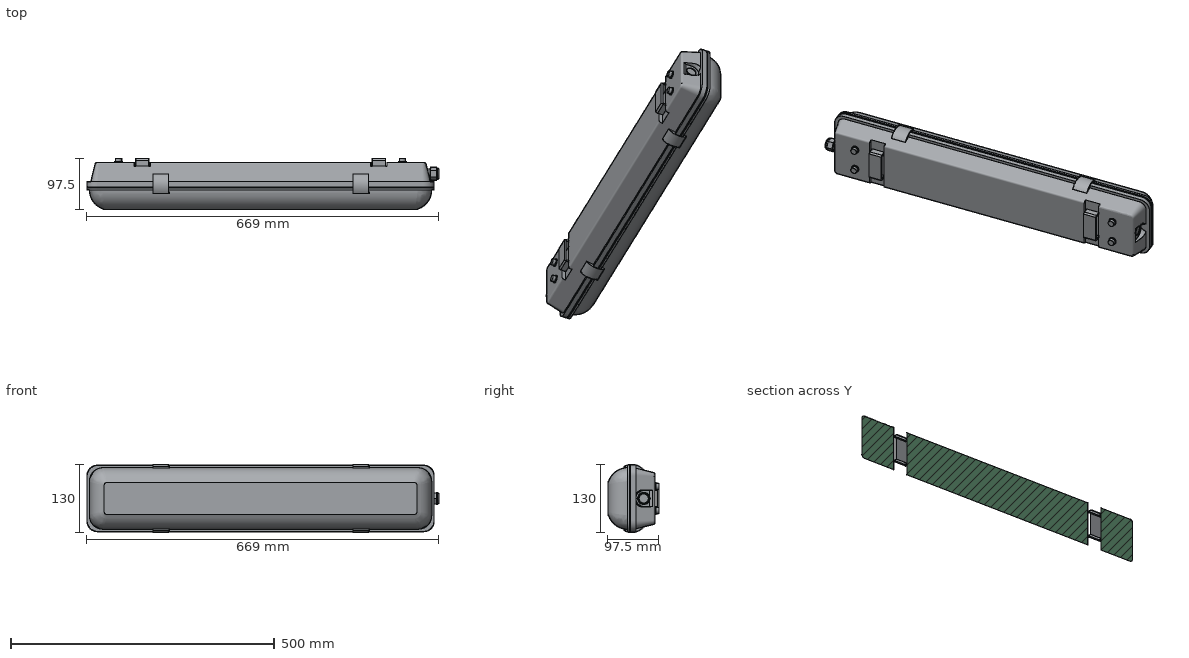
import cadquery as cq
import math


rim_length = 660.0
rim_height = 126.5
rim_thickness = 16.0
rim_corner = 20.0
seal_groove_width = 2.0
seal_groove_depth = 1.5
seal_groove_from_front = 4.0

lens_ledge = 5.0
lens_depth = 37.5
lens_curve_depth = 33.5
lens_curve_inset = 20.0
lens_corner = 26.0
lens_bevel = 8.0
lens_face_corner = 5.5

housing_depth = 36.0
housing_end_inset = 7.5
housing_side_inset = 5.7
housing_taper = 9.0
housing_root_corner = 14.0
housing_back_corner = 7.0
housing_back_fillet = 4.0

clip_spacing = 380.0
clip_width = 29.5
clip_back = 14.0
clip_front_overlap = 7.0
clip_top = 65.0
clip_radius = 29.0
clip_root = 53.5
clip_edge_thickness = 2.0
clip_ear_width = 2.0
clip_ear_length = 3.0
clip_ear_top = 61.0

mount_standoff = 8.0
bracket_spacing = 450.0
bracket_length = 25.5
bracket_height = 59.5
bracket_thickness = 4.0
bracket_bevel_height = 4.0
bracket_bevel_width = 2.0
slot_length = 30.0
slot_depth = 7.0

foot_spacing_x = 539.5
foot_spacing_z = 45.5
foot_diameter = 12.0
foot_root_diameter = 15.0
foot_root_height = 2.0

entry_y = 15.0
entry_radius = 19.0
entry_inset = 17.5
entry_draft = 12
entry_ramp_length = 6.0
entry_ramp_rise = 3.0
knockout_diameter = 19.0
knockout_depth = 1.5

gland_tip = 339.0
gland_neck_diameter = 19.0
gland_flange_diameter = 21.0
gland_flange_start = 322.0
gland_flange_thickness = 1.5
gland_nut_diameter = 25.0
gland_nut_length = 11.0
gland_cap_diameter = 23.0
gland_cap_chamfer = 3.0

rim_front = -rim_thickness
housing_back = housing_depth
mount_back = housing_back + mount_standoff
overlap = 1.5


def rounded_wire(y, end_inset, side_inset, corner):
    """Rounded rectangle in the plane at y, inset from the rim outline."""
    length = rim_length - 2 * end_inset
    height = rim_height - 2 * side_inset
    outline = cq.Workplane("XZ", origin=(0, y, 0)).rect(length, height).val()
    return outline.fillet2D(corner, outline.Vertices())


def loft(wires):
    """Straight-sided solid between outlines."""
    return cq.Workplane(cq.Solid.makeLoft(wires, True))


def box(x, y, z):
    """Box between the (low, high) limits on each axis."""
    size = [high - low for low, high in (x, y, z)]
    return cq.Workplane("XY").box(*size, centered=False).translate((x[0], y[0], z[0]))


def cylinder_x(diameter, start, end):
    return cq.Workplane("YZ", origin=(start, entry_y, 0)).circle(diameter / 2).extrude(end - start)


def make_rim():
    """Rim with the seal groove running all round."""

    def slab(front, back, inset):
        wires = [rounded_wire(y, inset, inset, rim_corner - inset) for y in (front, back)]
        return loft(wires)

    groove_front = rim_front + seal_groove_from_front
    groove_back = groove_front + seal_groove_width
    core = slab(rim_front, 0, seal_groove_depth)
    return core.union(slab(rim_front, groove_front, 0)).union(slab(groove_back, 0, 0))


def flank_prism(plane, length, half_width):
    """Flank section of the lens, extruded both ways from the plane; local y is the part's Y."""
    radius = (lens_curve_depth**2 + lens_curve_inset**2) / (2 * lens_curve_inset)
    half_angle = math.asin(lens_curve_depth / radius) / 2
    middle = half_width - radius * (1 - math.cos(half_angle))
    middle_y = rim_front - radius * math.sin(half_angle)
    end = half_width - lens_curve_inset
    end_y = rim_front - lens_curve_depth
    return (
        cq.Workplane(plane)
        .moveTo(-half_width, rim_front)
        .threePointArc((-middle, middle_y), (-end, end_y))
        .lineTo(end, end_y)
        .threePointArc((middle, middle_y), (half_width, rim_front))
        .close()
        .extrude(length / 2, both=True)
    )


def make_lens():
    """Flanks crossed at the corners and rounded there, plus the bevelled front."""
    across = cq.Plane((0, 0, 0), xDir=(0, 0, 1), normal=(-1, 0, 0))
    long_sides = flank_prism(across, rim_length, rim_height / 2 - lens_ledge)
    ends = flank_prism("XY", rim_height, rim_length / 2 - lens_ledge)
    flanks = long_sides.intersect(ends).edges("not(#X or #Y or #Z)").fillet(lens_corner)
    bevel_outline = flanks.faces("<Y").val().outerWire()
    face_inset = lens_ledge + lens_curve_inset + lens_bevel
    face_outline = rounded_wire(rim_front - lens_depth, face_inset, face_inset, lens_face_corner)
    return flanks.union(loft([bevel_outline, face_outline]))


def make_housing():
    """Tapered back shell with bracket slots and a cable entry in each end."""
    root = rounded_wire(0, housing_end_inset, housing_side_inset, housing_root_corner)
    back_end_inset = housing_end_inset + housing_taper
    back_side_inset = housing_side_inset + housing_taper
    back = rounded_wire(housing_back, back_end_inset, back_side_inset, housing_back_corner)
    housing = loft([root, back]).faces(">Y").edges().fillet(housing_back_fillet)
    for side in (-1, 1):
        x = side * bracket_spacing / 2
        slot = box(
            (x - slot_length / 2, x + slot_length / 2),
            (housing_back - slot_depth, mount_back),
            (-rim_height / 2, rim_height / 2),
        )
        housing = housing.cut(slot)
    entry = make_entry()
    return housing.cut(entry).cut(entry.mirror("YZ"))


def make_entry():
    """Cutter for the -X end: a U-shaped recess with a ramp at its back and a round knockout."""
    start = -rim_length / 2
    floor = start + entry_inset
    recess = (
        cq.Workplane("YZ", origin=(start, 0, 0))
        .moveTo(mount_back, entry_radius)
        .lineTo(entry_y, entry_radius)
        .threePointArc((entry_y - entry_radius, 0), (entry_y, -entry_radius))
        .lineTo(mount_back, -entry_radius)
        .close()
        .extrude(entry_inset, taper=entry_draft)
    )
    ramp = (
        cq.Workplane("XY", origin=(0, 0, -entry_radius))
        .moveTo(floor, housing_back - entry_ramp_length - housing_back_fillet)
        .lineTo(floor - entry_ramp_rise, housing_back - housing_back_fillet)
        .lineTo(floor - entry_ramp_rise, mount_back)
        .lineTo(floor, mount_back)
        .close()
        .extrude(2 * entry_radius)
    )
    rim_guard = box((start, floor), (-entry_radius, 0), (-entry_radius, entry_radius))
    knockout = cylinder_x(knockout_diameter, floor - overlap, floor + knockout_depth)
    return recess.cut(ramp).cut(rim_guard).union(knockout)


def make_clip(x):
    """Bowed clip on the +Z side, with a small ear at its front end."""
    front = rim_front - clip_front_overlap
    crown = rim_front / 2

    def bow(y):
        return clip_top - clip_radius + math.sqrt(clip_radius**2 - (y - crown) ** 2)

    body = (
        cq.Workplane("YZ", origin=(x - clip_width / 2, 0, 0))
        .moveTo(front, clip_root)
        .lineTo(front, bow(front))
        .threePointArc((crown, clip_top), (clip_back, bow(clip_back)))
        .lineTo(clip_back, bow(clip_back) - clip_edge_thickness)
        .lineTo(0, clip_root)
        .close()
        .extrude(clip_width)
    )
    ear = box(
        (x, x + clip_width / 2 + clip_ear_width),
        (front, front + clip_ear_length),
        (clip_root, clip_ear_top),
    )
    return body.union(ear)


def make_bracket(x):
    """U-shaped bracket standing on the floor of its slot."""
    x_limits = (x - bracket_length / 2, x + bracket_length / 2)
    half_height = bracket_height / 2
    outer = box(x_limits, (housing_back - slot_depth - overlap, mount_back), (-half_height, half_height))
    leg_inside = half_height - bracket_thickness
    gap = box(x_limits, (0, mount_back - bracket_thickness), (-leg_inside, leg_inside))
    bracket = outer.cut(gap)
    for side in (-1, 1):
        corner = (
            cq.Workplane("YZ", origin=(x_limits[0], 0, 0))
            .moveTo(mount_back, side * half_height)
            .lineTo(mount_back - bracket_bevel_height, side * half_height)
            .lineTo(mount_back, side * (half_height - bracket_bevel_width))
            .close()
            .extrude(bracket_length)
        )
        bracket = bracket.cut(corner)
    return bracket


def make_foot(x, z):
    """Round foot with a wider root."""
    start = housing_back - overlap

    def post(diameter, top):
        plane = cq.Workplane("XZ", origin=(x, start, z))
        return plane.circle(diameter / 2).extrude(start - top)

    return post(foot_root_diameter, housing_back + foot_root_height).union(post(foot_diameter, mount_back))


def make_gland():
    """Neck, flange, hexagonal nut and chamfered cap in a row along X."""
    nut_start = gland_flange_start + gland_flange_thickness
    nut_end = nut_start + gland_nut_length
    neck_start = rim_length / 2 - entry_inset - knockout_depth - overlap
    neck = cylinder_x(gland_neck_diameter, neck_start, gland_flange_start)
    flange = cylinder_x(gland_flange_diameter, gland_flange_start, nut_start)
    nut = (
        cq.Workplane("YZ", origin=(nut_start, entry_y, 0))
        .polygon(6, gland_nut_diameter)
        .extrude(gland_nut_length)
    )
    cap = cylinder_x(gland_cap_diameter, nut_end, gland_tip).faces(">X").chamfer(gland_cap_chamfer)
    return neck.union(flange).union(nut).union(cap)


result = make_rim().union(make_lens()).union(make_housing()).union(make_gland())
for side in (-1, 1):
    clip = make_clip(side * clip_spacing / 2)
    result = result.union(clip).union(clip.mirror("XY"))
    result = result.union(make_bracket(side * bracket_spacing / 2))
    for level in (-1, 1):
        result = result.union(make_foot(side * foot_spacing_x / 2, level * foot_spacing_z / 2))